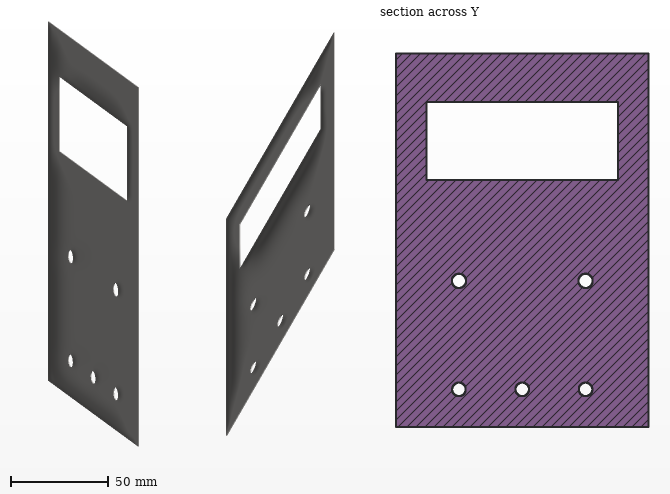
import cadquery as cq

plate_width = 130.0
plate_height = 192.0
plate_thickness = 0.5

window_width = 98.0
window_height = 40.0
window_top_margin = 25.2

hole_spacing = plate_width / 4
upper_hole_diameter = 7.1
upper_row_height = 75.0
lower_hole_diameter = 6.7
lower_row_height = 19.4

bottom_edge = -plate_height / 2
window_center_z = plate_height / 2 - window_top_margin - window_height / 2


def cut_hole_row(panel, columns, row_height, diameter):
    """Drill one row of through holes; columns count hole spacings from the centre line."""
    centers = [(column * hole_spacing, bottom_edge + row_height) for column in columns]
    return panel.faces("<Y").workplane(origin=(0, 0, 0)).pushPoints(centers).hole(diameter)


panel = cq.Workplane("XY").box(plate_width, plate_thickness, plate_height)

panel = (
    panel.faces("<Y")
    .workplane(origin=(0, 0, 0))
    .center(0, window_center_z)
    .rect(window_width, window_height)
    .cutThruAll()
)

panel = cut_hole_row(panel, (-1, 1), upper_row_height, upper_hole_diameter)
panel = cut_hole_row(panel, (-1, 0, 1), lower_row_height, lower_hole_diameter)

result = panel